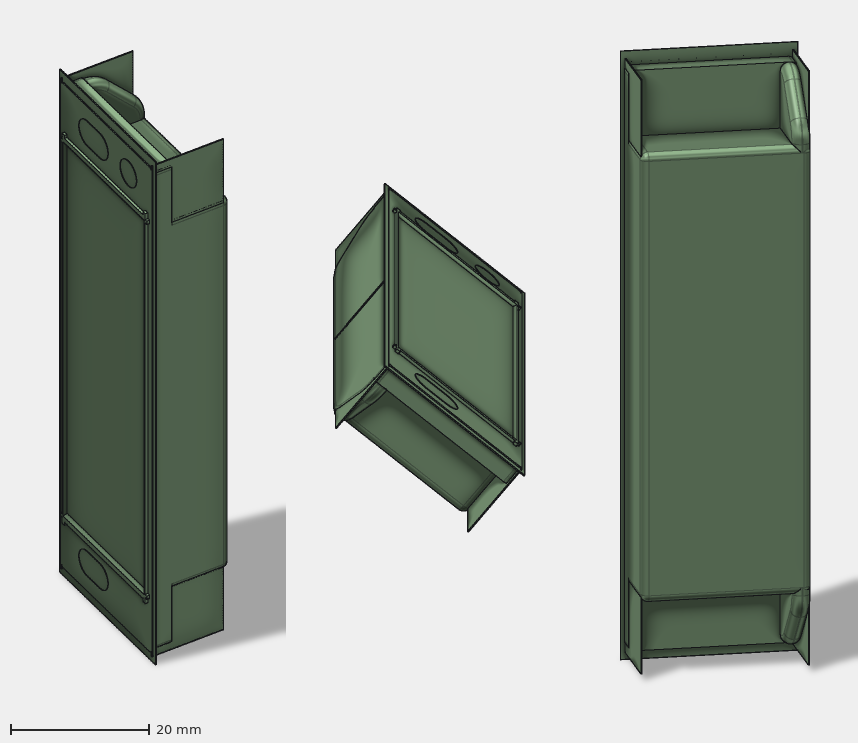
import cadquery as cq

HEIGHT = 91.5
WIDTH = 26.2
DEPTH = 13.7
FRAME_RAISE = 0.6
BACK_Y = DEPTH - FRAME_RAISE

PLATE_THICK = 0.2
PANEL_RAISE = 0.2
PANEL_HEIGHT = 88.2
PANEL_CORNER = 0.7
FLANGE_DEPTH = 3.2
FLANGE_HEIGHT = 87.3
FLANGE_ROUND = 0.8
SHEET_HEIGHT = 89.3

CASE_WIDTH = 25.1
SHEET_INSET = 0.1
SHEET_THICK = 0.2
SHEET_BACK = 12.1
BODY_HEIGHT = 67.5
BODY_ROUND = 1.1

WALL_WIDTH = 2.65
WALL_HEIGHT = 87.3
WALL_BACK_HEIGHT = 72.1
WALL_BEND_RADIUS = 5.1
WALL_CROWN_RADIUS = 1.3

BAR_LENGTH_X = 23.6
BAR_LENGTH_Z = 71.0
FRAME_WIDTH = 22.7
FRAME_HEIGHT = 69.9
WINDOW_WIDTH = 21.4
WINDOW_HEIGHT = 67.0
WINDOW_BEVEL_X = 0.4
WINDOW_BEVEL_Z = 0.55
CROSSBAR_HEIGHT = 0.6

RECESS_SIZE = 4.5
SLOT_LENGTH = 8.0
SLOT_X = -3.6
HOLE_X = 5.95
RECESS_Z = 39.2
RECESS_DEPTH = 0.1

SEAM_DEPTH = 0.2
SEAM_HEIGHT = 0.4
WIDE_SEAM_HEIGHT = 0.9
WIDE_SEAM_BACK = 9.4


def block(width, height, y_front, y_back, x=0, z=0):
    """Box centred on x and z that spans y_front to y_back."""
    depth = y_back - y_front
    return cq.Workplane("XY").box(width, depth, height).translate((x, y_front + depth / 2, z))


def left_wall():
    """Upright wall with sloping upper and lower back corners and a round crown."""
    top = WALL_HEIGHT / 2
    low = WALL_BACK_HEIGHT / 2
    slope_front = BACK_Y - (top - low)
    outline = [
        (PLATE_THICK, -top),
        (slope_front, -top),
        (BACK_Y, -low),
        (BACK_Y, low),
        (slope_front, top),
        (PLATE_THICK, top),
    ]
    wall = cq.Workplane("YZ", origin=(-CASE_WIDTH / 2, 0, 0)).polyline(outline).close().extrude(WALL_WIDTH)
    wall = wall.edges("|X and (not <Y)").fillet(WALL_BEND_RADIUS)
    return wall.faces("<X or >X").edges("not <Y").fillet(WALL_CROWN_RADIUS)


def flange():
    """Wide front part of the case, with its four front-to-back edges rounded."""
    return block(CASE_WIDTH, FLANGE_HEIGHT, 0, FLANGE_DEPTH).edges("|Y").fillet(FLANGE_ROUND)


def case():
    """Main body, flange, left wall and the sheets set into both sides."""
    body = block(CASE_WIDTH, BODY_HEIGHT, 0, BACK_Y).edges("not <Y").fillet(BODY_ROUND)
    solid = body.union(flange()).union(left_wall())
    sheet_x = CASE_WIDTH / 2 - SHEET_INSET - SHEET_THICK / 2
    for x in (-sheet_x, sheet_x):
        solid = solid.union(block(SHEET_THICK, SHEET_HEIGHT, -PANEL_RAISE, SHEET_BACK, x))
    return solid


def faceplate():
    """Thin plate with a raised panel that has rounded corners."""
    panel_width = CASE_WIDTH - 2 * SHEET_INSET
    panel = block(panel_width, PANEL_HEIGHT, -PANEL_RAISE, 0).edges("|Y").fillet(PANEL_CORNER)
    return block(WIDTH, HEIGHT, 0, PLATE_THICK).union(panel)


def window_frame():
    """Raised frame whose bars overrun the corners, around a bevelled window."""
    frame = block(FRAME_WIDTH, FRAME_HEIGHT, -FRAME_RAISE, 0)
    bar_width = (FRAME_WIDTH - WINDOW_WIDTH) / 2
    bar_x = (FRAME_WIDTH - bar_width) / 2
    bar_z = WINDOW_HEIGHT / 2 + CROSSBAR_HEIGHT
    for side in (-1, 1):
        frame = frame.union(block(bar_width, BAR_LENGTH_Z, -FRAME_RAISE, 0, x=side * bar_x))
        frame = frame.union(block(BAR_LENGTH_X, CROSSBAR_HEIGHT, -FRAME_RAISE, 0, z=side * bar_z))
    return frame


def window_opening():
    """Opening that narrows from the frame face down to the panel."""
    return (
        cq.Workplane("XZ", origin=(0, -PANEL_RAISE, 0))
        .rect(WINDOW_WIDTH, WINDOW_HEIGHT)
        .workplane(offset=FRAME_RAISE - PANEL_RAISE)
        .rect(WINDOW_WIDTH + 2 * WINDOW_BEVEL_X, WINDOW_HEIGHT + 2 * WINDOW_BEVEL_Z)
        .loft(combine=True)
    )


def recesses():
    """Two slots and one round recess in the panel face."""
    slot_places = [(SLOT_X, RECESS_Z), (SLOT_X, -RECESS_Z)]
    slots = cq.Workplane("XZ", origin=(0, -PANEL_RAISE, 0)).pushPoints(slot_places)
    slots = slots.slot2D(SLOT_LENGTH, RECESS_SIZE).extrude(-RECESS_DEPTH)
    hole = cq.Workplane("XZ", origin=(HOLE_X, -PANEL_RAISE, RECESS_Z))
    hole = hole.circle(RECESS_SIZE / 2).extrude(-RECESS_DEPTH)
    return slots.union(hole)


def side_seam():
    """Narrow groove across the left side, wider toward the front."""
    groove_x = (SEAM_DEPTH - CASE_WIDTH) / 2
    narrow = block(SEAM_DEPTH, SEAM_HEIGHT, PLATE_THICK, SHEET_BACK, groove_x)
    wide = block(SEAM_DEPTH, WIDE_SEAM_HEIGHT, PLATE_THICK, WIDE_SEAM_BACK, groove_x)
    return narrow.union(wide)


result = case().union(faceplate()).union(window_frame())
result = result.cut(window_opening()).cut(recesses()).cut(side_seam())